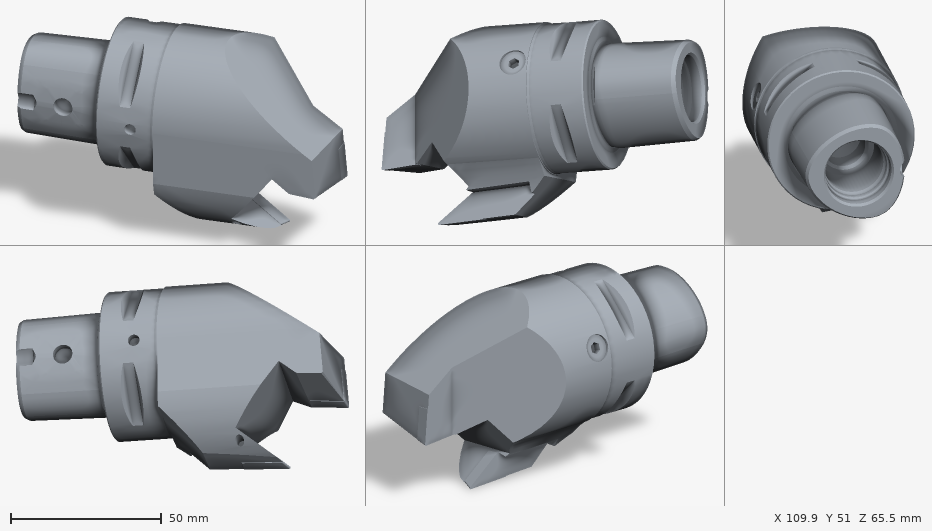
import cadquery as cq
import math


BIG = 219.9

shank_length = 30.0
shank_radius = 17.5
shank_taper = 1 / 40
lobe_rise = 1.0
lobe_half_angle = 26
lobe_spans = 12
shank_chamfer_length = 1.4
shank_chamfer_height = 0.8
neck_radius = 17.5
neck_length = 2.2
neck_taper_length = 1.0
neck_step = 0.1
collar_length = 0.4
collar_radius = 17.9
collar_base_radius = 19.4

flange_radius = 25.0
flange_length = 19.8
flange_chamfer = 0.4
flange_flare_length = 0.9
flange_flare_height = 0.2
grip_count = 4
grip_x = 9.9
grip_floor_distance = 22.1
grip_floor_width = 3.5
grip_side_angle = 30
index_hole_x = 12.0
index_hole_radius = 2.0
index_hole_depth = 3.3

drill_point_angle = 118
key_radius = 3.2
key_offset = 17.0
key_depth = 5.7
side_hole_x = -13.9
side_hole_radius = 3.3
side_hole_depth = 5.0

head_radius = 25.5
head_length = 61.8
arm_setback = 0.3
swing_radius = 26.0
swing_middle_angle = 45
lower_tip_z = -40.0
gullet_lip_y = 3.4
gullet_lip_z = -31.9
gullet_arc_middle = (8.2, -25.7)
gullet_arc_angle = 36
heel_z = -26.3
heel_angle = 43
heel_relief_angle = 5.3
roof_start_x = 38.9
roof_slope = 0.71
roof_tilt = 0.075
back_cut_end_x = 68.1
back_cut_angle = 42.3
lower_clearance_x = 25.8

relief_angle = 7
overhang = 0.2
insert_thickness = 4.7
nose_radius = 0.4
upper_tip = (79.9, -20.0)
upper_edge = 12.9
upper_edge_angles = (95, 175)
lower_tip = (60.0, lower_tip_z)
lower_edge = 16.6
lower_edge_angles = (142, 177)
lower_seat_clearance = 1.1
arm_side_relief_angle = 5.5
corner_relief_angle = 12
corner_trim = 0.1

screw_radius = 1.4
screw_head_radius = 2.4
screw_head_height = 1.6
screw_length = 11.0
screw_hole_length = 33.0

plug_x = 25.0
plug_angle = 71.5
plug_radius = 4.0
plug_rim_radius = 4.6
plug_top = 24.4
plug_length = 6.6
socket_width = 3.5
socket_depth = 2.7



def direction(angle):
    """Unit vector in the XZ plane, as (x, z)."""
    return math.cos(math.radians(angle)), math.sin(math.radians(angle))


def along(point, angle, distance):
    """Point in the XZ plane at a distance from another one."""
    dx, dz = direction(angle)
    return point[0] + distance * dx, point[1] + distance * dz


def half_space(origin, normal, x_direction):
    """Block that fills the side of a plane to which the normal points."""
    plane = cq.Plane(origin=origin, xDir=x_direction, normal=normal)
    return cq.Workplane(plane).box(BIG, BIG, BIG, centered=(True, True, False))


def space_beyond(point, line_angle, outward_angle, relief=relief_angle):
    """Space outside a flank through an XZ line; the flank recedes inward toward -Y."""
    out_x, out_z = direction(outward_angle)
    line_x, line_z = direction(line_angle)
    cos_relief = math.cos(math.radians(relief))
    sin_relief = math.sin(math.radians(relief))
    normal = (out_x * cos_relief, -sin_relief, out_z * cos_relief)
    return half_space((point[0], 0, point[1]), normal, (line_x, 0, line_z))


def drill(start, axis, radius, depth):
    """Drilled hole: a cylinder from start along axis, ending in a drill point."""
    point_depth = radius / math.tan(math.radians(drill_point_angle / 2))
    start_vector = cq.Vector(*start)
    axis_vector = cq.Vector(*axis)
    bottom = start_vector + axis_vector * depth
    cylinder = cq.Solid.makeCylinder(radius, depth, start_vector, axis_vector)
    cone = cq.Solid.makeCone(radius, 0, point_depth, bottom, axis_vector)
    return cq.Workplane(cylinder).union(cq.Workplane(cone))


def revolved(profile):
    """Solid of revolution about the X axis from (x, radius) points."""
    return cq.Workplane("XZ").polyline(profile).close().revolve(360, (0, 0, 0), (1, 0, 0))



def sharp_corner(tip, edge_angles):
    """Corner where the cutting edges would meet without the nose radius."""
    middle_angle = sum(edge_angles) / 2
    half_angle = math.radians((edge_angles[1] - edge_angles[0]) / 2)
    nose_centre = (tip[0] - nose_radius, tip[1] + nose_radius)
    return along(nose_centre, middle_angle, -nose_radius / math.sin(half_angle))


def insert_blank(corner, edge, edge_angles):
    """Rhombic insert with relieved flanks and a sharp cutting corner."""
    first = along(corner, edge_angles[0], edge)
    far = along(first, edge_angles[1], edge)
    second = along(corner, edge_angles[1], edge)
    outline = cq.Workplane("XZ").polyline([corner, first, far, second]).close()
    return outline.extrude(insert_thickness, taper=relief_angle)


def round_nose(blank, corner):
    nose_edge = cq.selectors.NearestToPointSelector((corner[0], -insert_thickness / 2, corner[1]))
    return blank.edges(nose_edge).fillet(nose_radius)


upper_corner = sharp_corner(upper_tip, upper_edge_angles)
lower_corner = sharp_corner(lower_tip, lower_edge_angles)
upper_blank = insert_blank(upper_corner, upper_edge, upper_edge_angles)
lower_blank = insert_blank(lower_corner, lower_edge, lower_edge_angles)

lower_middle_angle = sum(lower_edge_angles) / 2
lower_half_angle = math.radians((lower_edge_angles[1] - lower_edge_angles[0]) / 2)
screw_centre = along(lower_corner, lower_middle_angle, lower_edge * math.cos(lower_half_angle))



def make_screw():
    """Countersunk screw, its head flush with the cutting face."""
    start = (screw_centre[0], 0, screw_centre[1])
    shank = cq.Solid.makeCylinder(screw_radius, screw_length, start, (0, -1, 0))
    head = cq.Solid.makeCone(screw_head_radius, screw_radius, screw_head_height, start, (0, -1, 0))
    return cq.Workplane(shank).union(cq.Workplane(head))



plug_direction = (0, math.sin(math.radians(plug_angle)), math.cos(math.radians(plug_angle)))


def plug_plane(distance):
    """Plane across the plug axis, facing outward, at a distance from the tool axis."""
    origin = (plug_x, plug_direction[1] * distance, plug_direction[2] * distance)
    return cq.Workplane(cq.Plane(origin=origin, xDir=(1, 0, 0), normal=plug_direction))


def make_plug():
    body = plug_plane(plug_top).circle(plug_radius).extrude(-plug_length)
    socket = plug_plane(plug_top).polygon(6, socket_width, circumscribed=True).extrude(-socket_depth)
    return body.cut(socket)


def plug_recess():
    """Threaded seat of the plug and the wider rim above it."""
    seat = plug_plane(plug_top).circle(plug_radius).extrude(-plug_length)
    rim = plug_plane(plug_top).circle(plug_rim_radius).extrude(head_radius)
    return seat.union(rim)



def lobed_section(x, mean_radius):
    """Closed wire of the three-lobed polygon at a given x, one lobe pointing to +Y."""

    def point_at(normal_angle):
        angle = math.radians(normal_angle)
        support = mean_radius + lobe_rise * math.cos(3 * angle)
        slope = -3 * lobe_rise * math.sin(3 * angle)
        y = support * math.cos(angle) - slope * math.sin(angle)
        z = support * math.sin(angle) + slope * math.cos(angle)
        return cq.Vector(x, y, z)

    edges = []
    for lobe in range(3):
        lobe_start = 120 * lobe - lobe_half_angle
        lobe_end = 120 * lobe + lobe_half_angle
        next_start = lobe_start + 120
        for start, end in ((lobe_start, lobe_end), (lobe_end, next_start)):
            points = [point_at(start + (end - start) * i / lobe_spans) for i in range(lobe_spans + 1)]
            edges.append(cq.Edge.makeSpline(points))
    return cq.Wire.assembleEdges(edges)


def make_shank():
    chamfer_x = shank_chamfer_length - shank_length
    chamfer_radius = shank_radius + shank_taper * (chamfer_x + neck_length)
    shoulder_section = lobed_section(-neck_length, shank_radius)
    chamfer_section = lobed_section(chamfer_x, chamfer_radius)
    end_section = lobed_section(-shank_length, chamfer_radius - shank_chamfer_height)
    taper = cq.Workplane(cq.Solid.makeLoft([shoulder_section, chamfer_section], True))
    chamfer = cq.Workplane(cq.Solid.makeLoft([chamfer_section, end_section], True))

    neck_flats_radius = shank_radius - neck_step
    neck_ends = [lobed_section(-neck_length, neck_flats_radius), lobed_section(0, neck_flats_radius)]
    neck_turning = revolved([
        (-neck_length, 0),
        (-neck_length, shank_radius + lobe_rise),
        (neck_taper_length - neck_length, neck_radius),
        (0, neck_radius),
        (0, 0),
    ])
    neck = cq.Workplane(cq.Solid.makeLoft(neck_ends, True)).intersect(neck_turning)
    collar = revolved([
        (-collar_length, 0),
        (-collar_length, collar_radius),
        (0, collar_base_radius),
        (0, 0),
    ])
    return taper.union(chamfer).union(neck).union(collar)


def shank_bore():
    """Stepped central bore, given as (depth from the shank end, radius)."""
    steps = [
        (0, 11.9),
        (1.0, 11.2),
        (4.4, 11.2),
        (5.1, 10.7),
        (5.6, 10.6),
        (7.1, 10.6),
        (7.7, 10.3),
        (8.8, 10.0),
        (24.2, 10.0),
        (24.2, 8.1),
        (25.2, 7.1),
        (33.0, 7.1),
    ]
    last_depth, last_radius = steps[-1]
    tip_depth = last_depth + last_radius / math.tan(math.radians(drill_point_angle / 2))
    outline = [(0, 0), *steps, (tip_depth, 0)]
    return revolved([(depth - shank_length, radius) for depth, radius in outline])



def make_flange():
    return revolved([
        (0, 0),
        (0, flange_radius - flange_chamfer),
        (flange_chamfer, flange_radius),
        (flange_length - flange_flare_length, flange_radius),
        (flange_length, flange_radius + flange_flare_height),
        (flange_length, 0),
    ])


def grip_slots():
    """Gripper slots: straight, with a flat floor and sloping sides, between the main axes."""
    height = flange_radius
    half_floor = grip_floor_width / 2
    half_top = half_floor + height * math.tan(math.radians(grip_side_angle))
    slot = (
        cq.Workplane("XZ")
        .polyline([
            (grip_x - half_floor, grip_floor_distance),
            (grip_x + half_floor, grip_floor_distance),
            (grip_x + half_top, grip_floor_distance + height),
            (grip_x - half_top, grip_floor_distance + height),
        ])
        .close()
        .extrude(flange_radius, both=True)
    )
    pitch = 360 / grip_count
    return [slot.rotate((0, 0, 0), (1, 0, 0), pitch * (i + 0.5)) for i in range(grip_count)]



def head_blank():
    """Head section carried along X: the head cylinder and the cutting arm below it."""
    swing_z = lower_tip_z + swing_radius
    flank_z = swing_z - math.sqrt(swing_radius**2 - head_radius**2)
    arc_angle = math.radians(swing_middle_angle)
    swing_middle = (-swing_radius * math.sin(arc_angle), swing_z - swing_radius * math.cos(arc_angle))
    gullet_angle = math.radians(gullet_arc_angle)
    gullet_start = (head_radius * math.sin(gullet_angle), -head_radius * math.cos(gullet_angle))

    cylinder = cq.Workplane("YZ", origin=(flange_length, 0, 0)).circle(head_radius).extrude(head_length)
    arm = (
        cq.Workplane("YZ", origin=(flange_length + arm_setback, 0, 0))
        .moveTo(0, 0)
        .lineTo(-head_radius, 0)
        .lineTo(-head_radius, flank_z)
        .threePointArc(swing_middle, (0, lower_tip_z))
        .lineTo(0, gullet_lip_z)
        .lineTo(gullet_lip_y, gullet_lip_z)
        .threePointArc(gullet_arc_middle, gullet_start)
        .close()
        .extrude(head_length - arm_setback)
    )
    return cylinder.union(arm)


def chip_slot():
    """Open slot between the inserts: a square end wall and the flanks of both arms."""
    top_angle, bottom_angle = lower_edge_angles[0], upper_edge_angles[1]
    lower_line = along(lower_corner, top_angle - 90, -overhang)
    upper_line = along(upper_corner, bottom_angle - 90, overhang)
    slot_end = along(lower_corner, top_angle, lower_edge + lower_seat_clearance)
    upper_seat_end = along(upper_line, bottom_angle, upper_edge)

    right_of_wall = space_beyond(slot_end, top_angle - 90, top_angle - 180, relief=0)
    above_lower_arm = space_beyond(lower_line, top_angle, top_angle - 90)
    below_arm_side = space_beyond(
        upper_seat_end, top_angle, top_angle + 90, relief=arm_side_relief_angle
    )
    below_arm_end = space_beyond(upper_line, bottom_angle, bottom_angle + 90)
    below_upper_arm = below_arm_side.union(below_arm_end)
    return below_upper_arm.intersect(right_of_wall).intersect(above_lower_arm)


def front_flank():
    """Space in front of the upper arm."""
    edge_angle = upper_edge_angles[0]
    point = along(upper_corner, edge_angle + 90, overhang)
    return space_beyond(point, edge_angle, edge_angle - 90)


def corner_flank():
    """Space beyond the trimmed corner below the upper insert."""
    middle_angle = sum(upper_edge_angles) / 2
    half_angle = math.radians((upper_edge_angles[1] - upper_edge_angles[0]) / 2)
    point = along(upper_corner, middle_angle, overhang / math.sin(half_angle) - corner_trim)
    return space_beyond(point, middle_angle + 90, middle_angle + 180, relief=corner_relief_angle)


def bottom_flank():
    """Space below the lower arm."""
    edge_angle = lower_edge_angles[1]
    point = along(lower_corner, edge_angle - 90, overhang)
    return space_beyond(point, edge_angle, edge_angle + 90)


def heel_flank():
    """Space below the sloping heel next to the flange."""
    return space_beyond((flange_length, heel_z), -heel_angle, -heel_angle - 90, relief=heel_relief_angle)


def roof_space():
    """Space above the sloping roof."""
    return half_space((roof_start_x, 0, head_radius), (roof_slope, -roof_tilt, 1), (1, 0, -roof_slope))


def back_space():
    """Space behind the slanted back cut, down to the plane of the cutting faces."""
    slope = math.radians(back_cut_angle)
    beyond = half_space((back_cut_end_x, 0, 0), (math.sin(slope), math.cos(slope), 0), (0, 0, 1))
    return beyond.intersect(half_space((0, 0, 0), (0, 1, 0), (1, 0, 0)))


def lower_insert_space():
    """Open space on the +Y side of the lower insert."""
    tip_angle, edge_angle = lower_edge_angles
    edge_end = along(lower_corner, tip_angle, lower_edge)
    back_end = along(edge_end, edge_angle, edge_end[0] - lower_clearance_x)
    outline = [
        edge_end,
        back_end,
        (lower_clearance_x, lower_tip_z),
        (flange_length + head_length, lower_tip_z),
        (flange_length + head_length, edge_end[1]),
    ]
    return cq.Workplane("XZ").polyline(outline).close().extrude(-head_radius)


def make_head():
    removed = [
        chip_slot(),
        front_flank(),
        corner_flank(),
        bottom_flank(),
        heel_flank(),
        roof_space(),
        back_space(),
        lower_insert_space(),
        upper_blank,
        lower_blank,
    ]
    head = head_blank()
    for space in removed:
        head = head.cut(space)
    return head



def make_holder():
    holder = make_shank().union(make_flange()).union(make_head())
    screw_start = (screw_centre[0], 0, screw_centre[1])
    screw_hole = cq.Solid.makeCylinder(screw_radius, screw_hole_length, screw_start, (0, -1, 0))
    holder = holder.cut(shank_bore())
    for slot in grip_slots():
        holder = holder.cut(slot)
    holder = holder.cut(drill((-shank_length, -key_offset, 0), (1, 0, 0), key_radius, key_depth))
    side_start = (side_hole_x, -shank_radius, 0)
    holder = holder.cut(drill(side_start, (0, 1, 0), side_hole_radius, side_hole_depth))
    index_start = (index_hole_x, -flange_radius, 0)
    holder = holder.cut(drill(index_start, (0, 1, 0), index_hole_radius, index_hole_depth))
    return holder.cut(cq.Workplane(screw_hole)).cut(plug_recess())


holder = make_holder()
upper_insert = round_nose(upper_blank, upper_corner)
screw = make_screw()
lower_insert = round_nose(lower_blank, lower_corner).cut(screw)
plug = make_plug()

result = cq.Compound.makeCompound([
    holder.val(),
    upper_insert.val(),
    lower_insert.val(),
    screw.val(),
    plug.val(),
])